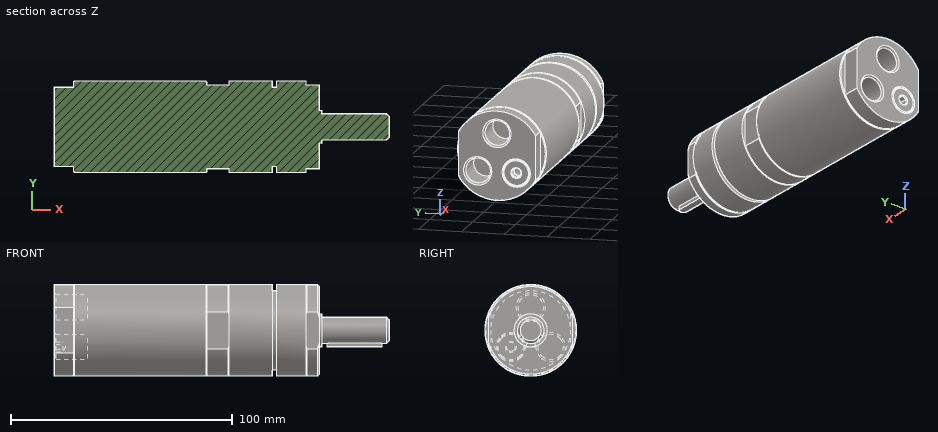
import cadquery as cq
import math


HOUSING_START = 8.7
NECK_START = 69.0
SLEEVE_START = 79.0
GROOVE_START = 98.6
GROOVE_END = 100.4
FLANGE_START = 113.9
FLANGE_END = 119.9
COLLAR_END = 121.0
SHAFT_END = 151.5

BODY_DIAMETER = 41.5
GROOVE_DIAMETER = 36.0
COLLAR_DIAMETER = 14.95
SHAFT_DIAMETER = 12.0

EDGE_CHAMFER = 0.4
FLANGE_CHAMFER = 0.9
SHAFT_CHAMFER = 1.3

HEAD_FLATS_WIDTH = 36.0
WRENCH_FLATS_WIDTH = 38.0

PORT_BORE_DIAMETER = 11.45
PORT_MOUTH_DIAMETER = 13.16
PORT_DEPTH = 15.0
TOP_PORT = (0.0, 10.4)
LOWER_PORT_Y = 9.0
LOWER_PORT_Z = -7.5
LEFT_PORT = (LOWER_PORT_Y, LOWER_PORT_Z)
PLUGGED_PORT = (-LOWER_PORT_Y, LOWER_PORT_Z)

PLUG_DIAMETER = (PORT_BORE_DIAMETER + PORT_MOUTH_DIAMETER) / 2
PLUG_CHAMFER = (PORT_MOUTH_DIAMETER - PLUG_DIAMETER) / 2
SOCKET_ACROSS_FLATS = 4.0
SOCKET_MOUTH_DIAMETER = 5.0
SOCKET_DEPTH = 4.0
SOCKET_CONE_DIAMETER = 4.0
SOCKET_CONE_ANGLE = 120.0

KEY_START = 123.3
KEY_LENGTH = 25.0
KEY_WIDTH = 4.0
KEY_REACH = 7.5


def cylinder(start, end, diameter, start_chamfer=0.0, end_chamfer=0.0):
    """Cylinder on the X axis, with optional 45 degree chamfers on its ends."""
    radius = diameter / 2
    body = cq.Workplane("YZ", origin=(start, 0, 0)).circle(radius).extrude(end - start)
    if start_chamfer:
        body = body.faces("<X").chamfer(start_chamfer)
    if end_chamfer:
        body = body.faces(">X").chamfer(end_chamfer)
    return body


def trim_flats(body, width):
    """Keep only the part of a body within the given width across Y."""
    slab = cq.Workplane("XY").box(2 * SHAFT_END, width, 2 * BODY_DIAMETER)
    return body.intersect(slab)


def cone(base_x, base_diameter, depth, tip_diameter, center):
    """Cone or frustum narrowing from base_x toward +X at a (Y, Z) center."""
    origin = cq.Vector(base_x, *center)
    solid = cq.Solid.makeCone(base_diameter / 2, tip_diameter / 2, depth, origin, cq.Vector(1, 0, 0))
    return cq.Workplane(obj=solid)


def port(center):
    """Cutting body of a port: plain bore with a 45 degree mouth chamfer."""
    mouth_depth = (PORT_MOUTH_DIAMETER - PORT_BORE_DIAMETER) / 2
    bore = cq.Workplane("YZ").center(*center).circle(PORT_BORE_DIAMETER / 2).extrude(PORT_DEPTH)
    return bore.union(cone(0, PORT_MOUTH_DIAMETER, mouth_depth, PORT_BORE_DIAMETER, center))


def screw_plug(center):
    """Plug flush with the port face, with a countersunk hexagon socket ending in a drill point."""
    plug = cq.Workplane("YZ").center(*center).circle(PLUG_DIAMETER / 2).extrude(PORT_DEPTH)
    plug = plug.faces("<X").chamfer(PLUG_CHAMFER)
    across_corners = SOCKET_ACROSS_FLATS / math.cos(math.radians(30))
    socket = (
        cq.Workplane("YZ")
        .center(*center)
        .transformed(rotate=(0, 0, 90))
        .polygon(6, across_corners)
        .extrude(SOCKET_DEPTH)
    )
    cone_depth = SOCKET_CONE_DIAMETER / 2 / math.tan(math.radians(SOCKET_CONE_ANGLE / 2))
    drill_point = cone(SOCKET_DEPTH, SOCKET_CONE_DIAMETER, cone_depth, 0, center)
    countersink_depth = (SOCKET_MOUTH_DIAMETER - SOCKET_ACROSS_FLATS) / 2
    countersink = cone(0, SOCKET_MOUTH_DIAMETER, countersink_depth, SOCKET_ACROSS_FLATS, center)
    return plug.cut(socket).cut(drill_point).cut(countersink)


def shaft_key():
    """Round-ended key reaching from the shaft axis out through its underside."""
    middle = KEY_START + KEY_LENGTH / 2
    return cq.Workplane("XY").center(middle, 0).slot2D(KEY_LENGTH, KEY_WIDTH).extrude(-KEY_REACH)


head = trim_flats(cylinder(0, HOUSING_START, BODY_DIAMETER), HEAD_FLATS_WIDTH)

housing = cylinder(HOUSING_START, NECK_START, BODY_DIAMETER, EDGE_CHAMFER, EDGE_CHAMFER)
neck = trim_flats(
    cylinder(NECK_START, SLEEVE_START, BODY_DIAMETER, end_chamfer=EDGE_CHAMFER),
    WRENCH_FLATS_WIDTH,
)
rear_sleeve = cylinder(SLEEVE_START, GROOVE_START, BODY_DIAMETER)
groove_core = cylinder(GROOVE_START, GROOVE_END, GROOVE_DIAMETER)
front_sleeve = cylinder(GROOVE_END, FLANGE_START, BODY_DIAMETER)

flange = trim_flats(
    cylinder(FLANGE_START, FLANGE_END, BODY_DIAMETER, EDGE_CHAMFER, FLANGE_CHAMFER),
    WRENCH_FLATS_WIDTH,
)
collar = cylinder(FLANGE_END, COLLAR_END, COLLAR_DIAMETER)
shaft = cylinder(COLLAR_END, SHAFT_END, SHAFT_DIAMETER, end_chamfer=SHAFT_CHAMFER)

result = head
for section in (housing, neck, rear_sleeve, groove_core, front_sleeve, flange, collar, shaft, shaft_key()):
    result = result.union(section)

for center in (TOP_PORT, LEFT_PORT, PLUGGED_PORT):
    result = result.cut(port(center))
result = result.union(screw_plug(PLUGGED_PORT))